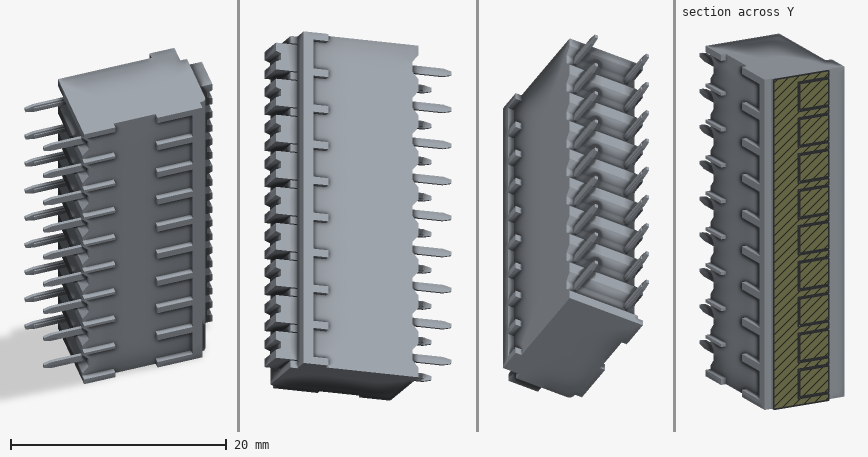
import cadquery as cq

POLES = 9
PITCH = 3.5
DIVIDER = 0.7
HEIGHT = POLES * PITCH + DIVIDER
POLE_ZS = [(i - (POLES - 1) / 2) * PITCH for i in range(POLES)]
INNER_DIVIDER_ZS = [z + PITCH / 2 for z in POLE_ZS[:-1]]

WIDTH = 8.4
LEFT_STEP = 0.62
RIGHT_STEP = 0.53
CORE_LEFT = LEFT_STEP
CORE_RIGHT = WIDTH - RIGHT_STEP
COLLAR_FRONT_Y = 10.6
COLLAR_BACK_Y = 11.55
LEFT_RIB_FRONT_Y = 9.12
RIGHT_RIB_FRONT_Y = 7.15
FOOT_DEPTH = 3.05
END_FOOT_HEIGHT = 0.6
INNER_FOOT_HEIGHT = 0.3

BLOCK_LEFT = 1.77
BLOCK_RIGHT = 7.65
BLOCK_BACK_Y = 12.2
BLOCK_CORNER_RADIUS = 0.5
BUTTON_RIGHT = 4.9
BUTTON_BACK_Y = 13.65
BUTTON_CLEARANCE = 0.1
WELL_HEIGHT = PITCH - DIVIDER
BUTTON_HEIGHT = WELL_HEIGHT - 2 * BUTTON_CLEARANCE
NOTCH_MOUTH = 1.0
NOTCH_FLOOR = 0.6
NOTCH_DEPTH = 0.52

GROOVE_DEPTH = 0.62
GROOVE_FLOOR = 0.95
GROOVE_MOUTH = 2.35

PIN_LENGTH = 3.5
PIN_TIP_LENGTH = 0.8
PIN_OUTER_XS = (1.35, 7.1)
BLADE_THICKNESS = 0.3
BLADE_HEIGHT = 0.75
BLADE_TIP_HEIGHT = 0.36
STRIP_THICKNESS = 0.1
PIN_ROOT_Y = 1.0


def box(x0, x1, y0, y1, z_mid, height):
    """Box between two X and two Y positions, centred on z_mid."""
    return (
        cq.Workplane("XY")
        .box(x1 - x0, y1 - y0, height, centered=False)
        .translate((x0, y0, z_mid - height / 2))
    )


def prism_along_x(points, x0, x1):
    """Extrude an outline of (y, z) points from x0 to x1."""
    return cq.Workplane("YZ").workplane(offset=x0).polyline(points).close().extrude(x1 - x0)


def make_core():
    core = box(CORE_LEFT, CORE_RIGHT, 0, COLLAR_BACK_Y, 0, HEIGHT)
    collar = box(0, WIDTH, COLLAR_FRONT_Y, COLLAR_BACK_Y, 0, HEIGHT)
    block = (
        box(BLOCK_LEFT, BLOCK_RIGHT, COLLAR_FRONT_Y, BLOCK_BACK_Y, 0, HEIGHT)
        .edges("|Z and >X and >Y")
        .fillet(BLOCK_CORNER_RADIUS)
    )
    return core.union(collar).union(block)


def make_side_ribs():
    """Ribs at every divider on both sides, and feet at the front of the right side."""
    end_rib_z = HEIGHT / 2 - DIVIDER / 2
    end_foot_z = HEIGHT / 2 - END_FOOT_HEIGHT / 2
    levels = [(z, z, INNER_FOOT_HEIGHT) for z in INNER_DIVIDER_ZS]
    levels += [(side * end_rib_z, side * end_foot_z, END_FOOT_HEIGHT) for side in (-1, 1)]
    ribs = cq.Workplane("XY")
    for rib_z, foot_z, foot_height in levels:
        ribs = ribs.add(box(0, CORE_LEFT, LEFT_RIB_FRONT_Y, COLLAR_FRONT_Y, rib_z, DIVIDER))
        ribs = ribs.add(box(CORE_RIGHT, WIDTH, RIGHT_RIB_FRONT_Y, COLLAR_FRONT_Y, rib_z, DIVIDER))
        ribs = ribs.add(box(CORE_RIGHT, WIDTH, 0, FOOT_DEPTH, foot_z, foot_height))
    return ribs.combine()


def make_groove(z):
    points = [
        (0, z - GROOVE_MOUTH / 2),
        (GROOVE_DEPTH, z - GROOVE_FLOOR / 2),
        (GROOVE_DEPTH, z + GROOVE_FLOOR / 2),
        (0, z + GROOVE_MOUTH / 2),
    ]
    return prism_along_x(points, CORE_LEFT, CORE_RIGHT)


def make_well(z):
    well_right = BUTTON_RIGHT + BUTTON_CLEARANCE
    return box(BLOCK_LEFT, well_right, COLLAR_BACK_Y, BLOCK_BACK_Y, z, WELL_HEIGHT)


def make_button(z):
    """Push button with a trapezoidal screwdriver notch across its back face."""
    notch_floor_y = BUTTON_BACK_Y - NOTCH_DEPTH
    points = [
        (COLLAR_FRONT_Y, z - BUTTON_HEIGHT / 2),
        (BUTTON_BACK_Y, z - BUTTON_HEIGHT / 2),
        (BUTTON_BACK_Y, z - NOTCH_MOUTH / 2),
        (notch_floor_y, z - NOTCH_FLOOR / 2),
        (notch_floor_y, z + NOTCH_FLOOR / 2),
        (BUTTON_BACK_Y, z + NOTCH_MOUTH / 2),
        (BUTTON_BACK_Y, z + BUTTON_HEIGHT / 2),
        (COLLAR_FRONT_Y, z + BUTTON_HEIGHT / 2),
    ]
    return prism_along_x(points, BLOCK_LEFT, BUTTON_RIGHT)


def make_pin(outer_x, inward, z):
    """Pin whose outer face lies at outer_x; inward (+1 or -1) points to the part's middle."""
    blade_inner_x = outer_x + inward * BLADE_THICKNESS
    strip_inner_x = blade_inner_x + inward * STRIP_THICKNESS
    shoulder_y = PIN_TIP_LENGTH - PIN_LENGTH
    points = [
        (PIN_ROOT_Y, z - BLADE_HEIGHT / 2),
        (shoulder_y, z - BLADE_HEIGHT / 2),
        (-PIN_LENGTH, z - BLADE_TIP_HEIGHT / 2),
        (-PIN_LENGTH, z + BLADE_TIP_HEIGHT / 2),
        (shoulder_y, z + BLADE_HEIGHT / 2),
        (PIN_ROOT_Y, z + BLADE_HEIGHT / 2),
    ]
    blade = prism_along_x(points, min(outer_x, blade_inner_x), max(outer_x, blade_inner_x))
    strip_xs = sorted((blade_inner_x, strip_inner_x))
    strip = box(*strip_xs, shoulder_y, PIN_ROOT_Y, z, BLADE_TIP_HEIGHT)
    return blade.union(strip)


result = make_core().union(make_side_ribs())
for pole_z in POLE_ZS:
    result = result.cut(make_groove(pole_z)).cut(make_well(pole_z))
    result = result.union(make_button(pole_z))
    for pin_x, pin_inward in zip(PIN_OUTER_XS, (1, -1)):
        result = result.union(make_pin(pin_x, pin_inward, pole_z))